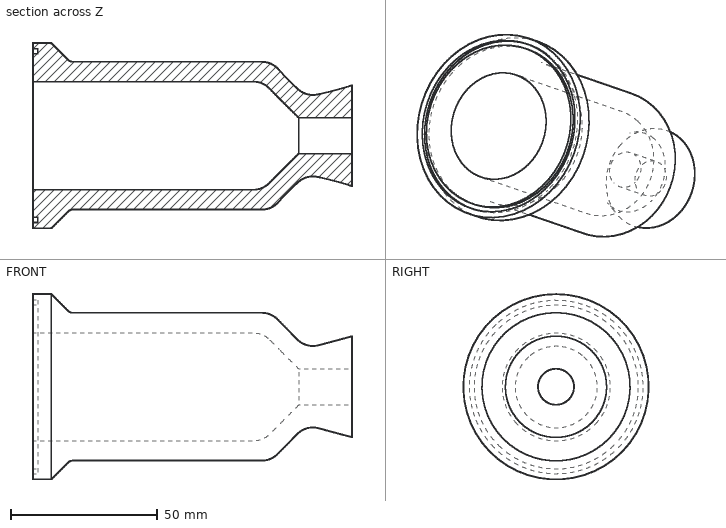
import cadquery as cq
import math

length = 109.3
flange_diameter = 63.5
flange_radius = flange_diameter / 2
body_radius = 25.3
neck_radius = 14.0

flange_rim_length = 6.3
shoulder_start = 78.3
neck_position = 95.8
slope_angle = math.radians(45)
flare_angle = math.radians(15)
flange_fillet = 2.3
blend_radius = 7.5

bore_radius = 18.5
outlet_radius = 6.1
wall = body_radius - bore_radius

groove_inner_radius = 28.1
groove_outer_radius = 29.7
groove_depth = 1.6


def circle_point(center, radius, angle):
    """Point (x, r) on a circle, with the angle measured from +r toward +x."""
    return (center[0] + radius * math.sin(angle), center[1] + radius * math.cos(angle))


def outer_body():
    """Flange, barrel, shoulder, neck and flared end as one revolved solid."""
    flange_corner = flange_rim_length + (flange_radius - body_radius) / math.tan(slope_angle)
    barrel_start = flange_corner + flange_fillet * math.tan(slope_angle / 2)
    flange_center = (barrel_start, body_radius + flange_fillet)
    shoulder_center = (shoulder_start, body_radius - blend_radius)
    neck_center = (neck_position, neck_radius + blend_radius)
    flare_start = circle_point(neck_center, blend_radius, math.pi - flare_angle)
    end_radius = flare_start[1] + (length - flare_start[0]) * math.tan(flare_angle)

    return (
        cq.Workplane("XZ")
        .moveTo(0, 0)
        .lineTo(0, flange_radius)
        .lineTo(flange_rim_length, flange_radius)
        .lineTo(*circle_point(flange_center, flange_fillet, math.pi + slope_angle))
        .threePointArc(
            circle_point(flange_center, flange_fillet, math.pi + slope_angle / 2),
            (barrel_start, body_radius),
        )
        .lineTo(shoulder_start, body_radius)
        .threePointArc(
            circle_point(shoulder_center, blend_radius, slope_angle / 2),
            circle_point(shoulder_center, blend_radius, slope_angle),
        )
        .lineTo(*circle_point(neck_center, blend_radius, math.pi + slope_angle))
        .threePointArc((neck_position, neck_radius), flare_start)
        .lineTo(length, end_radius)
        .lineTo(length, 0)
        .close()
        .revolve(360, (0, 0, 0), (1, 0, 0))
    )


def bore():
    """Straight bore narrowing through a rounded cone, parallel to the shoulder, to the outlet."""
    outer_corner = shoulder_start + blend_radius * math.tan(slope_angle / 2)
    bore_corner = outer_corner - wall * math.tan(slope_angle / 2)
    round_start = bore_corner - blend_radius * math.tan(slope_angle / 2)
    round_center = (round_start, bore_radius - blend_radius)
    cone_end = bore_corner + (bore_radius - outlet_radius) / math.tan(slope_angle)

    return (
        cq.Workplane("XZ")
        .moveTo(0, 0)
        .lineTo(0, bore_radius)
        .lineTo(round_start, bore_radius)
        .threePointArc(
            circle_point(round_center, blend_radius, slope_angle / 2),
            circle_point(round_center, blend_radius, slope_angle),
        )
        .lineTo(cone_end, outlet_radius)
        .lineTo(length, outlet_radius)
        .lineTo(length, 0)
        .close()
        .revolve(360, (0, 0, 0), (1, 0, 0))
    )


def face_groove():
    """Shallow ring groove in the flange face."""
    return (
        cq.Workplane("YZ")
        .circle(groove_outer_radius)
        .circle(groove_inner_radius)
        .extrude(groove_depth)
    )


result = outer_body().cut(bore()).cut(face_groove())